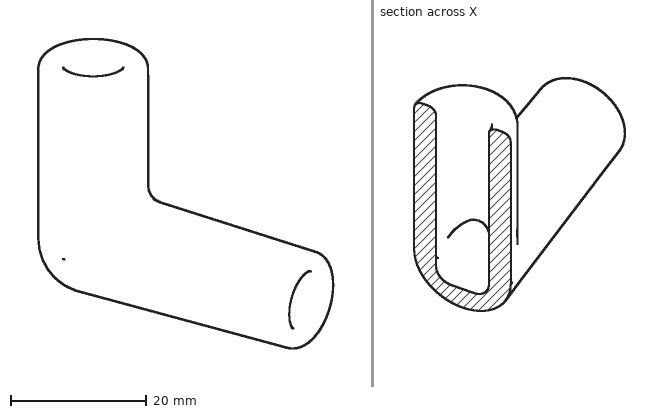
import cadquery as cq

outer_diameter = 16.25
overall_length = 46.5
overall_height = 37.6

outer_radius = outer_diameter / 2
post_top = overall_height - outer_radius
arm_end = overall_length - outer_radius
arm_end_radius = 7.4

wall = 3.75
bore_radius = outer_radius - wall
rim_radius = 1.5
corner_radius = 2.5

edge_gap = 0.45


def post_shape(radius, bottom):
    """Round bar along Z, from the given height up to the top of the post."""
    return cq.Workplane("XY").workplane(offset=bottom).circle(radius).extrude(post_top - bottom)


def arm_shape(start_radius, end_radius):
    """Round bar along +X, straight or tapered, from the origin to the end of the arm."""
    profile = [(0, 0), (0, start_radius), (arm_end, end_radius), (arm_end, 0)]
    return cq.Workplane("XZ").polyline(profile).close().revolve(360, (0, 0, 0), (1, 0, 0))


def round_meeting_edges(body, radius, low, high):
    """Round the edges between low and high in Z where a post and arm of this radius meet."""
    meeting = cq.selectors.BoxSelector((edge_gap, -radius, low), (radius, radius, high))
    return body.edges(meeting).fillet(corner_radius)


def outer_body():
    """Post and tapered arm, closed at the outside of the bend by a quarter of a ball."""
    quarter_space = cq.Workplane("XY").box(outer_radius, outer_diameter, outer_radius)
    quarter_space = quarter_space.translate((-outer_radius / 2, 0, -outer_radius / 2))
    ball_end = cq.Workplane("XY").sphere(outer_radius).intersect(quarter_space)
    body = post_shape(outer_radius, 0).union(arm_shape(outer_radius, arm_end_radius)).union(ball_end)
    return round_meeting_edges(body, outer_radius, edge_gap, outer_radius)


def bent_bore():
    """Straight bores of the post and arm, blended on the inside of the bend."""
    bore = post_shape(bore_radius, 0).union(arm_shape(bore_radius, bore_radius))
    return round_meeting_edges(bore, bore_radius, edge_gap, bore_radius)


def floor_bore():
    """Full-depth post bore, with a rounded edge around its flat floor."""
    return post_shape(bore_radius, -bore_radius).faces("<Z").edges().fillet(corner_radius)


elbow = outer_body().cut(bent_bore()).cut(floor_bore())

elbow = round_meeting_edges(elbow, bore_radius, edge_gap - bore_radius, -edge_gap)

result = elbow.faces(">Z or >X").edges().fillet(rim_radius)